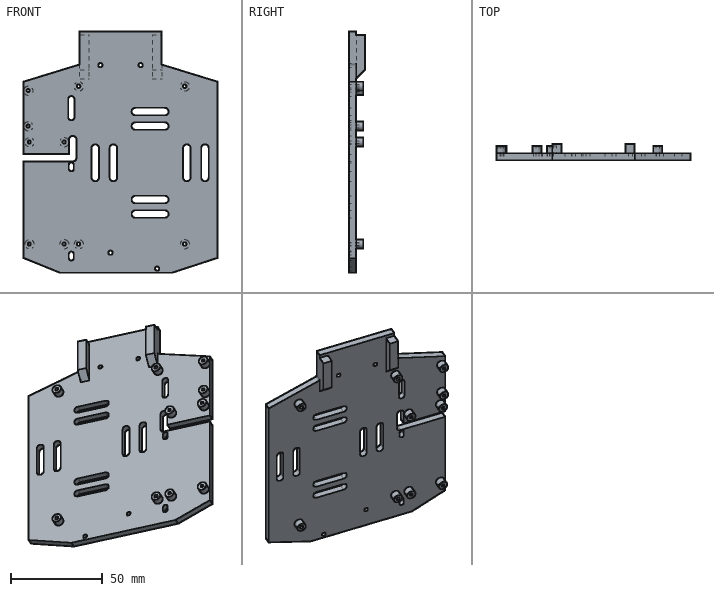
import cadquery as cq

plate_width = 106.0
plate_height = 132
plate_thickness = 4

tab_width = 44.9
tab_height = 18.1
side_top_z = 104.5
side_bottom_z = 8.2
bottom_left_inset = 20.0
bottom_right_inset = 25.1
shoulder_radius = 0.5

rail_width = 5.0
rail_depth = 5.0
rail_top_gap = 2.0
rail_length = 24.0

standoff_diameter = 5.0
standoff_height = 4
large_standoff_hole = 1.8
small_standoff_hole = 1.6

board_left_x = 30.1
board_right_x = 88.0
board_top_z = 102.0
lower_row_z = 15.8

left_board_x = (3.2, 22.2)
left_board_top_z = 71.5
edge_standoff_x = 2.5
edge_standoff_z = (80.3, 99.7)

screw_hole_diameter = 2.2
screw_hole_points = [(42.0, 113.5), (64.0, 113.5), (47.5, 11.1), (73.0, 2.4)]

slot_width = 4
slot_length = 20.0
pattern_x = 69.2
pattern_z = 60.2
slot_inner_offset = 20.0
upright_outer_offset = 30.0
level_outer_offset = 28.0

cable_slot_x = 26.1
long_cable_slot_width = 3.3
long_cable_slot_length = 13.1
long_cable_slot_z = 90.0
short_cable_slot_width = 2.6
short_cable_slot_length = 4.8
short_cable_slot_z = (58.0, 9.2)

channel_z = 63.0
channel_x = 26.9
channel_top_z = 74.8

center_x = plate_width / 2
tab_left = center_x - tab_width / 2
tab_right = center_x + tab_width / 2
shoulder_z = plate_height - tab_height


def front_plane():
    """Workplane on the front face, with local x along X and local y along Z."""
    return cq.Workplane("XZ")


def to_back(sketch, depth):
    """Extrude a front_plane sketch toward +Y."""
    return sketch.extrude(-depth)


def make_plate():
    outline = [
        (bottom_left_inset, 0),
        (plate_width - bottom_right_inset, 0),
        (plate_width, side_bottom_z),
        (plate_width, side_top_z),
        (tab_right, shoulder_z),
        (tab_right, plate_height),
        (tab_left, plate_height),
        (tab_left, shoulder_z),
        (0, side_top_z),
        (0, side_bottom_z),
    ]
    plate = to_back(front_plane().polyline(outline).close(), plate_thickness)
    for shoulder_x in (tab_left, tab_right):
        shoulder_edge = cq.selectors.NearestToPointSelector((shoulder_x, plate_thickness / 2, shoulder_z))
        plate = plate.edges(shoulder_edge).fillet(shoulder_radius)
    return plate


def make_rail(left_x):
    """Rail with a 45 degree lower end, its left face at left_x; it starts inside the plate."""
    top_z = plate_height - rail_top_gap
    bottom_z = top_z - rail_length
    back_y = plate_thickness + rail_depth
    profile = [
        (0, top_z),
        (back_y, top_z),
        (back_y, bottom_z + rail_depth),
        (plate_thickness, bottom_z),
        (0, bottom_z),
    ]
    return cq.Workplane("YZ", origin=(left_x, 0, 0)).polyline(profile).close().extrude(rail_width)


def make_cylinders(points, diameter):
    """Cylinders from the front face to the standoff tops, for standoffs and holes alike."""
    circles = front_plane().pushPoints(points).circle(diameter / 2)
    return to_back(circles, plate_thickness + standoff_height)


def make_slots(points, length, width, angle):
    return to_back(front_plane().pushPoints(points).slot2D(length, width, angle), plate_thickness)


def make_channel():
    """Path of a round cutter: in from the left side, then up."""
    radius = slot_width / 2
    level_end = channel_x + radius
    level_start = -slot_width
    level_middle = (level_start + level_end) / 2
    level = make_slots([(level_middle, channel_z)], level_end - level_start, slot_width, 0)
    upright_start = channel_z - radius
    upright_middle = (upright_start + channel_top_z) / 2
    upright = make_slots([(channel_x, upright_middle)], channel_top_z - upright_start, slot_width, 90)
    return level.union(upright)


large_standoff_points = [(x, z) for x in (board_left_x, board_right_x) for z in (lower_row_z, board_top_z)]
small_standoff_points = [(x, z) for x in left_board_x for z in (lower_row_z, left_board_top_z)]
small_standoff_points += [(edge_standoff_x, z) for z in edge_standoff_z]

upright_offsets = (-upright_outer_offset, -slot_inner_offset, slot_inner_offset, upright_outer_offset)
level_offsets = (-level_outer_offset, -slot_inner_offset, slot_inner_offset, level_outer_offset)
upright_slot_points = [(pattern_x + offset, pattern_z) for offset in upright_offsets]
level_slot_points = [(pattern_x, pattern_z + offset) for offset in level_offsets]
short_cable_slot_points = [(cable_slot_x, z) for z in short_cable_slot_z]

result = make_plate()
for rail_left in (tab_left, tab_right - rail_width):
    result = result.union(make_rail(rail_left))
result = result.union(make_cylinders(large_standoff_points + small_standoff_points, standoff_diameter))

cuts = [
    make_cylinders(large_standoff_points, large_standoff_hole),
    make_cylinders(small_standoff_points, small_standoff_hole),
    make_cylinders(screw_hole_points, screw_hole_diameter),
    make_slots(upright_slot_points, slot_length, slot_width, 90),
    make_slots(level_slot_points, slot_length, slot_width, 0),
    make_slots([(cable_slot_x, long_cable_slot_z)], long_cable_slot_length, long_cable_slot_width, 90),
    make_slots(short_cable_slot_points, short_cable_slot_length, short_cable_slot_width, 90),
    make_channel(),
]
for cut in cuts:
    result = result.cut(cut)